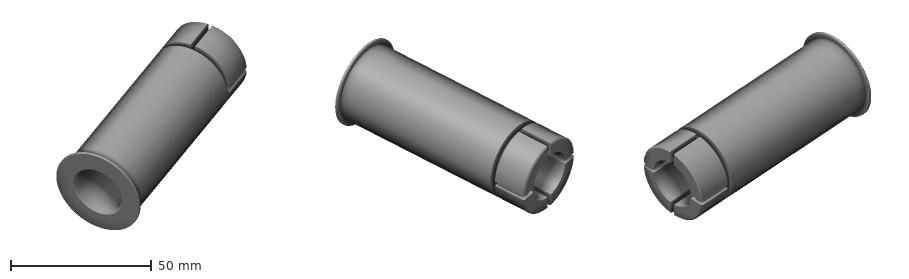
import cadquery as cq

length = 83.0
flange_diameter = 34.0
flange_thickness = 1.0
body_diameter = 30.0
bore_diameter = 19.0
groove_diameter = 24.0
groove_width = 2.0
head_length = 13.0
slot_width = 1.8
edge_chamfer = 0.5
flange_chamfer = 0.2

flange_radius = flange_diameter / 2
body_radius = body_diameter / 2
bore_radius = bore_diameter / 2
groove_radius = groove_diameter / 2
groove_end = length - head_length
groove_start = groove_end - groove_width


def make_sleeve():
    """Revolve the flanged, grooved and chamfered wall about Y."""
    half_section = [
        (bore_radius + edge_chamfer, 0),
        (flange_radius - flange_chamfer, 0),
        (flange_radius, flange_chamfer),
        (flange_radius, flange_thickness - flange_chamfer),
        (flange_radius - flange_chamfer, flange_thickness),
        (body_radius, flange_thickness),
        (body_radius, groove_start),
        (groove_radius, groove_start),
        (groove_radius, groove_end),
        (body_radius, groove_end),
        (body_radius, length - edge_chamfer),
        (body_radius - edge_chamfer, length),
        (bore_radius, length),
        (bore_radius, edge_chamfer),
    ]
    section = cq.Workplane("XY").polyline(half_section).close()
    return section.revolve(360, (0, 0, 0), (0, 1, 0))


def make_cross_slots():
    """Two crossing slots that split the head and groove into four fingers."""
    slot_length = length - groove_start
    slot_center = groove_start + slot_length / 2
    slot_across_x = cq.Workplane("XY").box(flange_diameter, slot_length, slot_width)
    slot_across_z = cq.Workplane("XY").box(slot_width, slot_length, flange_diameter)
    return slot_across_x.union(slot_across_z).translate((0, slot_center, 0))


result = make_sleeve().cut(make_cross_slots())